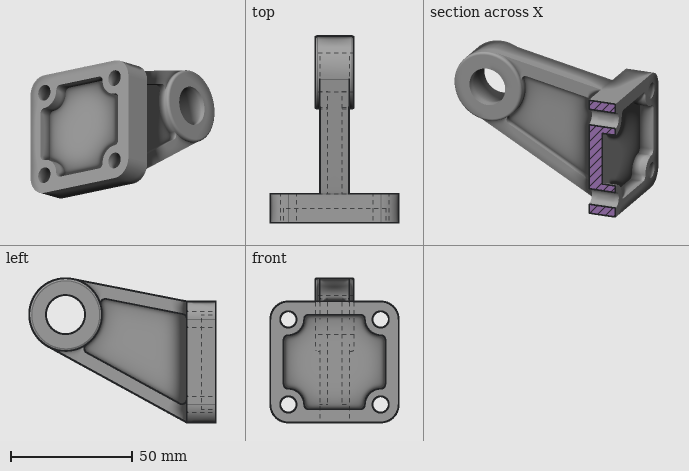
import cadquery as cq
import math

plate_width = 53.0
plate_height = 50.0
plate_thickness = 12.0
corner_radius = 7.5
bolt_hole_diameter = 6.6
bolt_spacing_x = plate_width - 2 * corner_radius
bolt_spacing_z = plate_height - 2 * corner_radius

pocket_wall = 5.5
pocket_depth = 6.0
bolt_boss_radius = 6.5
pocket_fillet = corner_radius - pocket_wall

total_length = 77.0
total_height = 59.5
hub_diameter = 30.0
hub_radius = hub_diameter / 2
hub_width = 16.0
hub_bore_diameter = 16.0
hub_edge_fillet = 1.0
hub_y = total_length - hub_radius
hub_z = total_height - hub_radius

arm_width = 12.0
arm_rim = 5.5
recess_depth = 3.0
recess_fillet = 2.0


def x_cylinder(radius, width):
    """Cylinder on the hub axis, centred on X = 0."""
    return (
        cq.Workplane("YZ", origin=(-width / 2, hub_y, hub_z)).circle(radius)
        .extrude(width)
    )


def tangent_point(start_z, side):
    """Point where a line from the plate's back face touches the hub (side: +1 above, -1 below)."""
    reach_y = plate_thickness - hub_y
    reach_z = start_z - hub_z
    direction = math.atan2(reach_z, reach_y)
    swing = math.acos(hub_radius / math.hypot(reach_y, reach_z))
    angle = direction - side * swing
    return hub_y + hub_radius * math.cos(angle), hub_z + hub_radius * math.sin(angle)


def inset_edge(start, end, side):
    """Shift an arm edge towards the middle of the arm by the rim width."""
    length_y = end[0] - start[0]
    length_z = end[1] - start[1]
    length = math.hypot(length_y, length_z)
    shift_y = side * arm_rim * length_z / length
    shift_z = -side * arm_rim * length_y / length
    inset_end = (end[0] + shift_y, end[1] + shift_z)
    slope = length_z / length_y
    inset_start = (plate_thickness, inset_end[1] + slope * (plate_thickness - inset_end[0]))
    return inset_start, inset_end


def make_plate():
    plate = (
        cq.Workplane("XY")
        .box(plate_width, plate_thickness, plate_height, centered=(True, False, False))
        .edges("|Y").fillet(corner_radius)
    )
    front = cq.Workplane("XZ").center(0, plate_height / 2)
    pocket = front.rect(plate_width - 2 * pocket_wall, plate_height - 2 * pocket_wall).extrude(-pocket_depth)
    bolt_pattern = front.rect(bolt_spacing_x, bolt_spacing_z, forConstruction=True).vertices()
    bosses = bolt_pattern.circle(bolt_boss_radius).extrude(-pocket_depth)
    holes = bolt_pattern.circle(bolt_hole_diameter / 2).extrude(-plate_thickness)
    pocket = pocket.cut(bosses).edges("|Y").fillet(pocket_fillet)
    return plate.cut(pocket).cut(holes)


def make_arm():
    top_start = (plate_thickness, plate_height)
    bottom_start = (plate_thickness, 0)
    top_end = tangent_point(plate_height, 1)
    bottom_end = tangent_point(0, -1)
    arm = (
        cq.Workplane("YZ").polyline([bottom_start, top_start, top_end, (hub_y, hub_z), bottom_end]).close()
        .extrude(arm_width / 2, both=True)
    )

    recess_top = inset_edge(top_start, top_end, 1)
    recess_bottom = inset_edge(bottom_start, bottom_end, -1)
    recess = (
        cq.Workplane("YZ", origin=(arm_width / 2 - recess_depth, 0, 0))
        .polyline([recess_bottom[0], recess_top[0], recess_top[1], recess_bottom[1]]).close()
        .extrude(recess_depth)
        .cut(x_cylinder(hub_radius, hub_width))
        .edges("|X").fillet(recess_fillet)
    )
    return arm.cut(recess).cut(recess.mirror("YZ"))


hub = x_cylinder(hub_radius, hub_width).faces("<X or >X").edges().fillet(hub_edge_fillet)
bore = x_cylinder(hub_bore_diameter / 2, hub_width)

result = make_plate().union(make_arm()).union(hub).cut(bore)